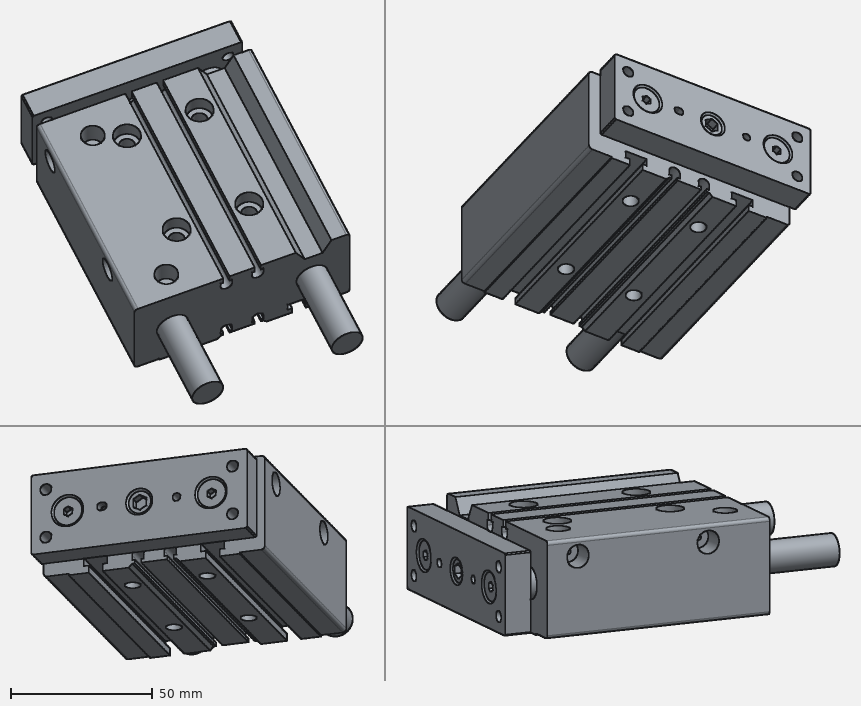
import cadquery as cq
import math


OVERLAP = 1.3

TOTAL_LENGTH = 134.5
PLATE_THICKNESS = 10.0
PLATE_WIDTH = 81.0
PLATE_HEIGHT = 30.0
PLATE_CHAMFER = 0.5

HOUSING_START = 16.0
HOUSING_LENGTH = 87.0
HOUSING_WIDTH = 83.0
HOUSING_HEIGHT = 36.0
HOUSING_FILLET = 1.3
HOUSING_TOP = HOUSING_HEIGHT / 2
HOUSING_BOTTOM = -HOUSING_HEIGHT / 2
HOUSING_FRONT_SIDE = -HOUSING_WIDTH / 2
HOUSING_END = HOUSING_START + HOUSING_LENGTH

GUIDE_ROD_DIAMETER = 12.0
GUIDE_ROD_Y = 26.9
PISTON_ROD_DIAMETER = 10.0
PISTON_ROD_INSERTION = 40.4

CORNER_HOLE_DIAMETER = 4.2
CORNER_HOLE_Y = 35.0
CORNER_HOLE_Z = 9.0
DOWEL_DIAMETER = 3.0
DOWEL_Y = 14.0
DOWEL_SLOT_LENGTH = 3.6
DOWEL_SLOT_DEPTH = 4.0
SCREW_RECESS_DEPTH = 0.7
GUIDE_RECESS_DIAMETER = GUIDE_ROD_DIAMETER
GUIDE_RECESS_FLOOR_DIAMETER = 10.5
GUIDE_SOCKET_FLATS = 3.2
PISTON_RECESS_DIAMETER = PISTON_ROD_DIAMETER
PISTON_RECESS_FLOOR_DIAMETER = 8.3
PISTON_SOCKET_FLATS = 5.0
SOCKET_DEPTH = 3.4

SENSOR_SLOT_Y = 6.0
SENSOR_NECK_WIDTH = 2.4
SENSOR_SLOT_WIDTH = 4.5
SENSOR_SLOT_DEPTH = 6.7
LIP_THICKNESS = 2.7

TRAPEZOID_Y = 27.6
TRAPEZOID_MOUTH_WIDTH = 13.7
TRAPEZOID_FLOOR_WIDTH = 6.9
TRAPEZOID_DEPTH = 5.9

TEE_Y = 21.9
TEE_NECK_WIDTH = 5.2
TEE_WIDTH = 8.7
TEE_DEPTH = 5.6

FOOT_OUTER_Y = 32.0
FOOT_STEP = 0.5
FOOT_INNER_Y = 9.5
CENTER_RELIEF_DEPTH = 1.3

MOUNT_HOLE_X = (33.0, 77.1)
MOUNT_HOLE_Y = DOWEL_Y
MOUNT_HOLE_DIAMETER = 5.8
COUNTERBORE_DIAMETER = 10.0
COUNTERBORE_DEPTH = 5.9

PORT_DIAMETER = 8.5
PORT_FLOOR_DIAMETER = 7.7
PORT_DEPTH = 8.1
PORT_DRILL_DIAMETER = 2.0
PORT_DRILL_DEPTH = 2.7
SIDE_PORT_X = (28.0, 79.0)
SIDE_PORT_Z = 11.4
TOP_PORT_X = (28.0, 93.3)
TOP_PORT_Y = -25.0


def rod(diameter, start, end, y=0.0, z=0.0):
    """Round bar along X from start to end."""
    return cq.Workplane("YZ", origin=(start, y, z)).circle(diameter / 2).extrude(end - start)


def groove(points):
    """Prism along the whole housing with the given (y, z) outline."""
    start = HOUSING_START - OVERLAP
    length = HOUSING_LENGTH + 2 * OVERLAP
    return cq.Workplane("YZ", origin=(start, 0, 0)).polyline(points).close().extrude(length)


def rectangular_groove(y_low, y_high, z_low, z_high):
    return groove([(y_low, z_low), (y_high, z_low), (y_high, z_high), (y_low, z_high)])


def cone(mouth_diameter, floor_diameter, depth, mouth, direction):
    """Cone tapering from its mouth along the given direction."""
    return cq.Workplane(obj=cq.Solid.makeCone(
        mouth_diameter / 2, floor_diameter / 2, depth, cq.Vector(*mouth), cq.Vector(*direction)))


def screw_end(y, recess_diameter, floor_diameter, socket_flats):
    """Tapered recess with a hexagon socket in its floor, cut into the plate's front face."""
    recess = cone(recess_diameter, floor_diameter, SCREW_RECESS_DEPTH, (0, y, 0), (1, 0, 0))
    across_corners = socket_flats / math.cos(math.pi / 6)
    socket = (cq.Workplane("YZ", origin=(0, y, 0))
              .transformed(rotate=(0, 0, 90))
              .polygon(6, across_corners)
              .extrude(SCREW_RECESS_DEPTH + SOCKET_DEPTH))
    return recess.union(socket)


def make_plate_with_rods():
    body = (cq.Workplane("YZ")
            .rect(PLATE_WIDTH, PLATE_HEIGHT)
            .extrude(PLATE_THICKNESS)
            .edges("|X").chamfer(PLATE_CHAMFER))
    body = body.union(rod(PISTON_ROD_DIAMETER, PLATE_THICKNESS, HOUSING_START + PISTON_ROD_INSERTION))
    for side in (-1, 1):
        body = body.union(rod(GUIDE_ROD_DIAMETER, PLATE_THICKNESS, TOTAL_LENGTH, side * GUIDE_ROD_Y))

    body = body.cut(screw_end(0, PISTON_RECESS_DIAMETER, PISTON_RECESS_FLOOR_DIAMETER, PISTON_SOCKET_FLATS))
    for side in (-1, 1):
        body = body.cut(screw_end(side * GUIDE_ROD_Y, GUIDE_RECESS_DIAMETER,
                                  GUIDE_RECESS_FLOOR_DIAMETER, GUIDE_SOCKET_FLATS))

    for side in (-1, 1):
        body = body.cut(rod(DOWEL_DIAMETER, 0, PLATE_THICKNESS, side * DOWEL_Y))
        for level in (-1, 1):
            body = body.cut(rod(CORNER_HOLE_DIAMETER, 0, PLATE_THICKNESS,
                                side * CORNER_HOLE_Y, level * CORNER_HOLE_Z))

    slot = (cq.Workplane("YZ", origin=(0, DOWEL_Y, 0))
            .slot2D(DOWEL_SLOT_LENGTH, DOWEL_DIAMETER)
            .extrude(DOWEL_SLOT_DEPTH))
    return body.cut(slot)


def sensor_slot(y, level):
    """Necked slot with a round floor; level is 1 on the top face, -1 on the bottom."""
    face = level * HOUSING_TOP
    ledge = level * (HOUSING_TOP - LIP_THICKNESS)
    floor = level * (HOUSING_TOP - SENSOR_SLOT_DEPTH)
    radius = SENSOR_SLOT_WIDTH / 2
    arc_start = floor + level * radius
    wide_part = (cq.Workplane("YZ", origin=(HOUSING_START, 0, 0))
                 .moveTo(y - radius, ledge)
                 .lineTo(y - radius, arc_start)
                 .threePointArc((y, floor), (y + radius, arc_start))
                 .lineTo(y + radius, ledge)
                 .close()
                 .extrude(HOUSING_LENGTH))
    half_neck = SENSOR_NECK_WIDTH / 2
    neck_z = sorted((arc_start, face + level * OVERLAP))
    return wide_part.union(rectangular_groove(y - half_neck, y + half_neck, *neck_z))


def trapezoid_groove():
    """Groove in the top face with a flat floor and sloping sides."""
    half_mouth = TRAPEZOID_MOUTH_WIDTH / 2
    half_floor = TRAPEZOID_FLOOR_WIDTH / 2
    floor = HOUSING_TOP - TRAPEZOID_DEPTH
    return groove([
        (TRAPEZOID_Y - half_mouth, HOUSING_TOP),
        (TRAPEZOID_Y - half_floor, floor),
        (TRAPEZOID_Y + half_floor, floor),
        (TRAPEZOID_Y + half_mouth, HOUSING_TOP),
    ])


def center_relief():
    """Shallow bottom groove that separates the feet, as deep as its sides are wide."""
    ceiling = HOUSING_BOTTOM + CENTER_RELIEF_DEPTH
    half_ceiling = FOOT_INNER_Y - CENTER_RELIEF_DEPTH
    return groove([
        (-FOOT_INNER_Y, HOUSING_BOTTOM),
        (-half_ceiling, ceiling),
        (half_ceiling, ceiling),
        (FOOT_INNER_Y, HOUSING_BOTTOM),
    ])


def tee_slot(y):
    """T-slot in the bottom face."""
    ledge = HOUSING_BOTTOM + LIP_THICKNESS
    ceiling = HOUSING_BOTTOM + TEE_DEPTH
    neck = rectangular_groove(y - TEE_NECK_WIDTH / 2, y + TEE_NECK_WIDTH / 2,
                              HOUSING_BOTTOM - OVERLAP, ceiling)
    wide_part = rectangular_groove(y - TEE_WIDTH / 2, y + TEE_WIDTH / 2, ledge, ceiling)
    return neck.union(wide_part)


def make_housing_block():
    """Rounded housing block with a raised band for the feet on its bottom face."""
    base = HOUSING_BOTTOM + FOOT_STEP
    block = (cq.Workplane("XY", origin=(HOUSING_START, 0, base))
             .box(HOUSING_LENGTH, HOUSING_WIDTH, HOUSING_TOP - base, centered=(False, True, False))
             .edges("|X").fillet(HOUSING_FILLET))

    foot_band = (cq.Workplane("XY", origin=(HOUSING_START, 0, HOUSING_BOTTOM))
                 .box(HOUSING_LENGTH, 2 * FOOT_OUTER_Y, HOUSING_HEIGHT / 2, centered=(False, True, False)))
    return block.union(foot_band)


def port(mouth, direction):
    """Tapered port with a small drilled hole in its floor."""
    total_depth = PORT_DEPTH + PORT_DRILL_DEPTH
    taper = cone(PORT_DIAMETER, PORT_FLOOR_DIAMETER, PORT_DEPTH, mouth, direction)
    drill = cq.Solid.makeCylinder(PORT_DRILL_DIAMETER / 2, total_depth,
                                  cq.Vector(*mouth), cq.Vector(*direction))
    return taper.union(cq.Workplane(obj=drill))


def mount_hole(x, y):
    """Through hole along Z, counterbored from the top face."""
    through = (cq.Workplane("XY", origin=(x, y, HOUSING_BOTTOM))
               .circle(MOUNT_HOLE_DIAMETER / 2)
               .extrude(HOUSING_HEIGHT))
    counterbore = (cq.Workplane("XY", origin=(x, y, HOUSING_TOP))
                   .circle(COUNTERBORE_DIAMETER / 2)
                   .extrude(-COUNTERBORE_DEPTH))
    return through.union(counterbore)


def make_housing():
    body = make_housing_block()
    body = body.cut(trapezoid_groove())
    body = body.cut(center_relief())
    for side in (-1, 1):
        body = body.cut(tee_slot(side * TEE_Y))
        for level in (-1, 1):
            body = body.cut(sensor_slot(side * SENSOR_SLOT_Y, level))

    body = body.cut(rod(PISTON_ROD_DIAMETER, HOUSING_START, HOUSING_START + PISTON_ROD_INSERTION))
    for side in (-1, 1):
        body = body.cut(rod(GUIDE_ROD_DIAMETER, HOUSING_START, HOUSING_END, side * GUIDE_ROD_Y))

    for x in MOUNT_HOLE_X:
        for side in (-1, 1):
            body = body.cut(mount_hole(x, side * MOUNT_HOLE_Y))
    for x in SIDE_PORT_X:
        body = body.cut(port((x, HOUSING_FRONT_SIDE, SIDE_PORT_Z), (0, 1, 0)))
    for x in TOP_PORT_X:
        body = body.cut(port((x, TOP_PORT_Y, HOUSING_TOP), (0, 0, -1)))
    return body


plate_with_rods = make_plate_with_rods()
housing = make_housing()

result = cq.Compound.makeCompound([housing.solids().val(), plate_with_rods.solids().val()])